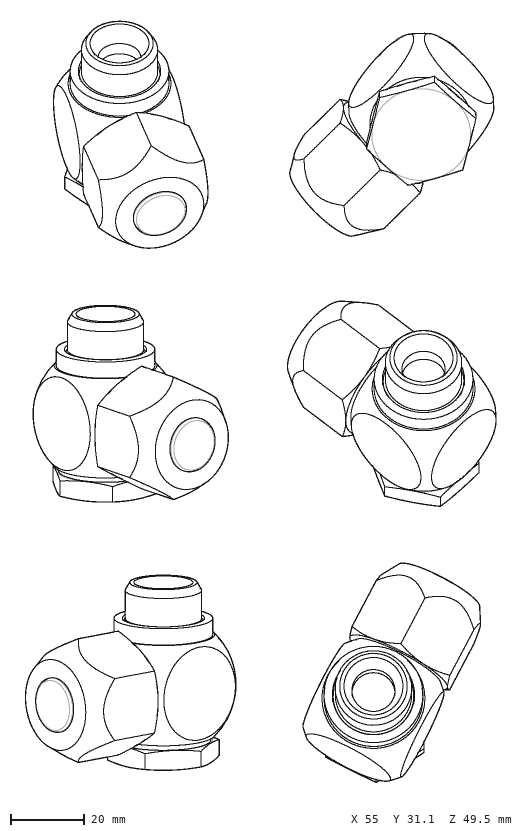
import cadquery as cq
import math

body_width = 30.0
body_height = 28.0
body_face_diameter = 25.9
body_radius = math.hypot(body_width / 2, body_face_diameter / 2)

head_flats = 26.95
head_height = 5.5
head_chamfer_angle = 15.0
neck_diameter = 25.9
body_bottom = 7.0
collar_diameter = 26.95
collar_bore = 22.4
collar_top = 39.55
shank_diameter = 22.0
shank_shoulder = 38.4
shank_cone_top = 39.4
spigot_diameter = 20.85
spigot_tip_diameter = 18.35
spigot_chamfer_height = 2.2
bolt_top = 49.5

mouth_diameter = 16.05
bore_diameter = 11.7
mouth_depth = 5.15
bore_depth = 8.9

nut_flats = 30.0
nut_end = 54.0
nut_chamfer_angle = 30.0
nut_cone_start = 45.7
tube_diameter = 15.0
tube_end = 55.0
tube_edge_radius = 0.6

body_top = body_bottom + body_height
axis_x = body_width / 2
axis_z = body_bottom + body_height / 2
bolt_plane = cq.Workplane("XY").center(axis_x, 0)


def hexagon_corner_radius(flats):
    return flats / math.sqrt(3)


def bolt_cylinder(diameter, bottom, top):
    return bolt_plane.workplane(offset=bottom).circle(diameter / 2).extrude(top - bottom)


def make_body():
    block = cq.Workplane("XY").box(body_width, body_width, body_height)
    ball = cq.Workplane("XY").sphere(body_radius)
    return block.intersect(ball).translate((axis_x, 0, axis_z))


def make_bolt_head():
    corner_radius = hexagon_corner_radius(head_flats)
    flat_radius = head_flats / 2
    chamfer_height = (corner_radius - flat_radius) * math.tan(math.radians(head_chamfer_angle))
    prism = (
        cq.Workplane("XY")
        .polygon(6, 2 * corner_radius)
        .extrude(head_height)
        .rotate((0, 0, 0), (0, 0, 1), 30)
    )
    envelope = (
        cq.Workplane("XZ")
        .moveTo(0, 0)
        .lineTo(flat_radius, 0)
        .lineTo(corner_radius, chamfer_height)
        .lineTo(corner_radius, head_height - chamfer_height)
        .lineTo(flat_radius, head_height)
        .lineTo(0, head_height)
        .close()
        .revolve(360, (0, 0, 0), (0, 1, 0))
    )
    return prism.intersect(envelope).translate((axis_x, 0, 0))


def make_collar():
    collar = bolt_cylinder(collar_diameter, body_top, collar_top)
    return collar.cut(bolt_cylinder(collar_bore, body_top, collar_top))


def make_spigot():
    shoulder = bolt_top - spigot_chamfer_height
    profile = (
        cq.Workplane("XZ")
        .moveTo(0, axis_z)
        .lineTo(shank_diameter / 2, axis_z)
        .lineTo(shank_diameter / 2, shank_shoulder)
        .lineTo(spigot_diameter / 2, shank_cone_top)
        .lineTo(spigot_diameter / 2, shoulder)
        .lineTo(spigot_tip_diameter / 2, bolt_top)
        .lineTo(mouth_diameter / 2, bolt_top)
        .lineTo(bore_diameter / 2, bolt_top - mouth_depth)
        .lineTo(bore_diameter / 2, bolt_top - bore_depth)
        .lineTo(0, bolt_top - bore_depth)
        .close()
    )
    return profile.revolve(360, (0, 0, 0), (0, 1, 0)).translate((axis_x, 0, 0))


def make_nut():
    corner_radius = hexagon_corner_radius(nut_flats)
    flat_radius = nut_flats / 2
    slope = math.tan(math.radians(nut_chamfer_angle))
    back_chamfer_length = (corner_radius - flat_radius) * slope
    front_radius = corner_radius - (nut_end - nut_cone_start) * slope
    prism = (
        cq.Workplane("YZ")
        .workplane(offset=body_width)
        .polygon(6, 2 * corner_radius)
        .extrude(nut_end - body_width)
        .rotate((0, 0, 0), (1, 0, 0), 90)
    )
    envelope = (
        cq.Workplane("XY")
        .moveTo(body_width, 0)
        .lineTo(body_width, flat_radius)
        .lineTo(body_width + back_chamfer_length, corner_radius)
        .lineTo(nut_cone_start, corner_radius)
        .lineTo(nut_end, front_radius)
        .lineTo(nut_end, 0)
        .close()
        .revolve(360, (0, 0, 0), (1, 0, 0))
    )
    return prism.intersect(envelope).translate((0, 0, axis_z))


def make_tube_end():
    return (
        cq.Workplane("YZ", origin=(nut_end, 0, axis_z))
        .circle(tube_diameter / 2)
        .extrude(tube_end - nut_end)
        .faces(">X")
        .fillet(tube_edge_radius)
    )


result = (
    make_body()
    .union(make_bolt_head())
    .union(bolt_cylinder(neck_diameter, head_height, body_bottom))
    .union(make_collar())
    .union(make_spigot())
    .union(make_nut())
    .union(make_tube_end())
)